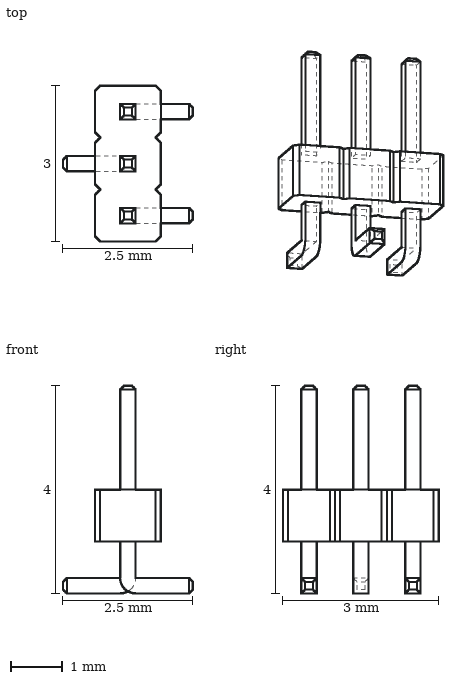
import cadquery as cq

pin_count = 3
pitch = 1.0

body_width = 1.27
body_height = 1.0
body_bottom = 1.0
body_chamfer = 0.1

pin_size = 0.3
pin_top = 4.0
foot_span = 2.5
bend_radius = pin_size
tip_length = 0.075
tip_inset = 0.075


def make_body_block(y):
    """Block around one pin; neighbouring chamfers form the V notches."""
    return (
        cq.Workplane("XY", origin=(0, y, body_bottom))
        .rect(body_width, pitch)
        .extrude(body_height)
        .edges("|Z")
        .chamfer(body_chamfer)
    )


def make_pin(y, side):
    """L-shaped pin whose foot points toward +X (side = 1) or -X (side = -1)."""
    half = pin_size / 2
    foot_end = foot_span / 2
    pin = (
        cq.Workplane("XZ", origin=(0, y, 0))
        .moveTo(-side * half, pin_top)
        .lineTo(side * half, pin_top)
        .lineTo(side * half, pin_size)
        .lineTo(side * foot_end, pin_size)
        .lineTo(side * foot_end, 0)
        .lineTo(-side * half, 0)
        .close()
        .extrude(half, both=True)
    )
    heel_selector = "<X" if side > 0 else ">X"
    pin = pin.faces(heel_selector).edges("<Z").fillet(bend_radius)

    foot_selector = ">X" if side > 0 else "<X"
    for tip_selector in (">Z", foot_selector):
        pin = pin.faces(tip_selector).chamfer(tip_length, tip_inset)
    return pin


result = cq.Workplane("XY")
for index in range(pin_count):
    pin_y = (index - (pin_count - 1) / 2) * pitch
    foot_side = 1 if index % 2 == 0 else -1
    result = result.union(make_body_block(pin_y))
    result = result.union(make_pin(pin_y, foot_side))
result = result.clean()